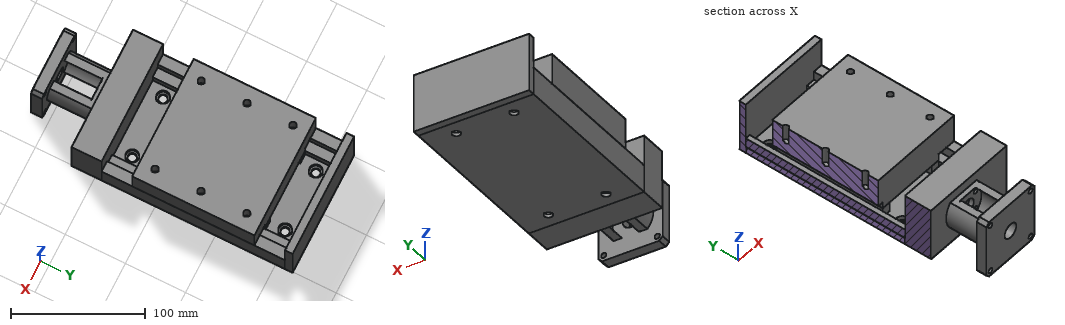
import cadquery as cq
import math

slide_width = 101.6
base_length = 152.4
base_height = 24.1
slide_height = 50.8

wall_thickness = 9.0
floor_thickness = 7.0
base_hole_spacing_x = 50.8
base_hole_spacing_y = 127.0
base_hole_diameter = 7.0
base_counterbore_diameter = 10.5
base_counterbore_depth = 4.0

end_plate_thickness = 6.35
front_block_thickness = 25.0

carriage_length = 101.6
carriage_leg_bottom = 18.0
mounting_hole_spacing_x = 76.2
mounting_hole_spacing_y = 38.1
mounting_hole_rows = 3
mounting_hole_diameter = 5.5
mounting_hole_depth = 15.0
drill_point_angle = 118.0

rail_width = 8.25
rail_gap = 0.5
outer_rail_top = 15.7
inner_rail_bottom = 8.9

motor_axis_height = 28.85
flange_size = 56.6
flange_thickness = 9.3
flange_chamfer = 3.1
motor_hole_spacing = 47.14
motor_hole_diameter = 4.5
pilot_diameter = 13.6
mount_length = 45.1
neck_diameter = 40.6
neck_bottom = 15.0
neck_top = 42.0
cavity_diameter = 31.5
cavity_back_wall = 4.4
neck_bolt_spacing = 18.0
neck_bolt_diameter = 4.3

base_front = -base_length / 2
base_back = base_length / 2
block_front = base_front - front_block_thickness
mount_front = block_front - mount_length
channel_half_width = slide_width / 2 - wall_thickness
outer_rail_inner_x = channel_half_width - rail_width
leg_half_width = outer_rail_inner_x - rail_gap


def block(x_min, x_max, y_min, y_max, z_min, z_max):
    """Box between the given limits."""
    size = (x_max - x_min, y_max - y_min, z_max - z_min)
    return cq.Workplane("XY").box(*size, centered=False).translate((x_min, y_min, z_min))


def full_width_block(y_min, y_max, z_min, z_max):
    """Box as wide as the slide."""
    return block(-slide_width / 2, slide_width / 2, y_min, y_max, z_min, z_max)


def cylinder_along_y(diameter, y_min, y_max, x=0.0, z=motor_axis_height):
    """Cylinder running along Y, on the motor axis unless placed elsewhere."""
    plane = cq.Plane(origin=(x, y_min, z), xDir=(1, 0, 0), normal=(0, 1, 0))
    return cq.Workplane(plane).circle(diameter / 2).extrude(y_max - y_min)


def corner_cylinders(spacing, diameter, y_min, y_max):
    """Four cylinders along Y on a square pattern around the motor axis."""
    offsets = (-spacing / 2, spacing / 2)
    cylinders = cq.Workplane("XY")
    for x in offsets:
        for dz in offsets:
            cylinders = cylinders.add(cylinder_along_y(diameter, y_min, y_max, x, motor_axis_height + dz))
    return cylinders.combine()


def make_base():
    base = full_width_block(base_front, base_back, 0, base_height)
    channel = block(
        -channel_half_width, channel_half_width, base_front, base_back, floor_thickness, base_height
    )
    return (
        base.cut(channel)
        .copyWorkplane(cq.Workplane("XY", origin=(0, 0, floor_thickness)))
        .rarray(base_hole_spacing_x, base_hole_spacing_y, 2, 2)
        .cboreHole(base_hole_diameter, base_counterbore_diameter, base_counterbore_depth)
    )


def make_carriage():
    front = -carriage_length / 2
    back = carriage_length / 2
    plate = full_width_block(front, back, base_height, slide_height)
    leg = block(-leg_half_width, leg_half_width, front, back, carriage_leg_bottom, base_height)
    radius = mounting_hole_diameter / 2
    straight_bottom = slide_height - mounting_hole_depth
    point_depth = radius / math.tan(math.radians(drill_point_angle / 2))
    drill_profile = [
        (0, slide_height),
        (radius, slide_height),
        (radius, straight_bottom),
        (0, straight_bottom - point_depth),
    ]
    drill = cq.Workplane("XZ").polyline(drill_profile).close().revolve(360, (0, 0, 0), (0, 1, 0)).val()
    holes = (
        cq.Workplane("XY")
        .rarray(mounting_hole_spacing_x, mounting_hole_spacing_y, 2, mounting_hole_rows)
        .eachpoint(lambda place: drill.moved(place))
    )
    return plate.union(leg).cut(holes)


def make_outer_rail():
    """Left-hand base rail, standing on the floor against the channel wall."""
    return block(
        -channel_half_width, -outer_rail_inner_x, base_front, base_back, floor_thickness, outer_rail_top
    )


def make_inner_rail():
    """Left-hand carriage rail, hanging flush with the side and ends of the carriage leg."""
    return block(
        -leg_half_width,
        rail_width - leg_half_width,
        -carriage_length / 2,
        carriage_length / 2,
        inner_rail_bottom,
        carriage_leg_bottom,
    )


def make_motor_mount():
    flange_back = mount_front + flange_thickness
    cavity_back = block_front - cavity_back_wall
    flange = (
        block(
            -flange_size / 2,
            flange_size / 2,
            mount_front,
            flange_back,
            motor_axis_height - flange_size / 2,
            motor_axis_height + flange_size / 2,
        )
        .edges("|Y")
        .chamfer(flange_chamfer)
    )
    flats = full_width_block(flange_back, block_front, neck_bottom, neck_top)
    neck = cylinder_along_y(neck_diameter, flange_back, block_front).intersect(flats)
    return (
        flange.union(neck)
        .cut(cylinder_along_y(cavity_diameter, flange_back, cavity_back))
        .cut(cylinder_along_y(pilot_diameter, mount_front, block_front))
        .cut(corner_cylinders(motor_hole_spacing, motor_hole_diameter, mount_front, flange_back))
        .cut(corner_cylinders(neck_bolt_spacing, neck_bolt_diameter, cavity_back, block_front))
    )


base = make_base()
end_plate = full_width_block(base_back, base_back + end_plate_thickness, 0, slide_height)
front_block = full_width_block(block_front, base_front, 0, slide_height)
carriage = make_carriage()
rails = []
for left_rail in (make_outer_rail(), make_inner_rail()):
    right_rail = left_rail.mirror("YZ")
    rails += [left_rail.val(), right_rail.val()]
motor_mount = make_motor_mount()

result = cq.Compound.makeCompound(
    [base.val(), end_plate.val(), front_block.val(), carriage.val(), *rails, motor_mount.val()]
)